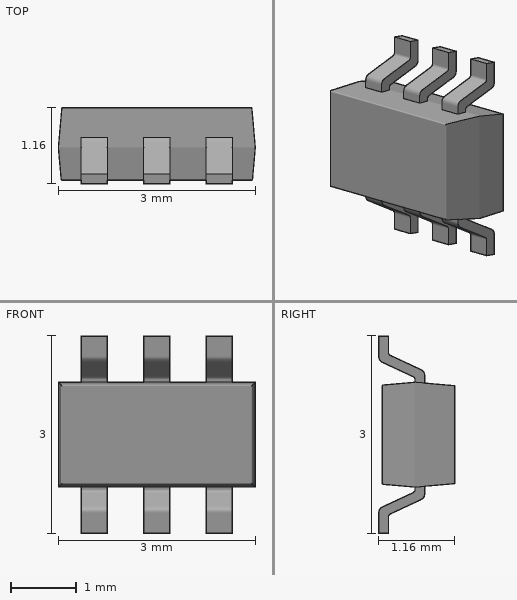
import cadquery as cq
import math


housing_width = 3.0
housing_height = 1.6
back_depth = 0.61
foot_drop = 0.552
standoff = 0.055
front_depth = foot_drop - standoff
draft_angle = 5.0
edge_radius = 0.0195

leads_per_side = 3
lead_pitch = 0.95
lead_width = 0.4
lead_thickness = 0.15
lead_span = 3.0
foot_length = 0.375
slope_angle = 25.0
outer_bend_radius = 0.1
inner_bend_radius = 0.05


def housing_half(depth):
    """Drafted block growing from the parting plane toward -Y."""
    return (
        cq.Workplane("XZ")
        .rect(housing_width, housing_height)
        .extrude(depth, taper=draft_angle)
    )


def make_housing():
    front_half = housing_half(front_depth)
    back_half = housing_half(back_depth).mirror("XZ")
    housing = front_half.union(back_half)
    return housing.faces("<Y or >Y").edges().fillet(edge_radius)


def round_bends(lead, bends, radius):
    """Fillet the edges along X that pass through the given (Y, Z) points."""
    for y, z in bends:
        bend_edge = cq.selectors.NearestToPointSelector((0, y, z))
        lead = lead.edges("|X").edges(bend_edge).fillet(radius)
    return lead


def make_upper_lead(center_x):
    """Gull-wing lead on the +Z side, its root lying flush on the drafted housing wall."""
    slope = math.tan(math.radians(slope_angle))
    miter = lead_thickness * math.tan(math.radians(90 - slope_angle) / 2)

    root_front_z = housing_height / 2
    root_back_z = root_front_z - lead_thickness * math.tan(math.radians(draft_angle))
    tip_z = lead_span / 2
    foot_front_y = -foot_drop
    foot_back_y = foot_front_y + lead_thickness
    foot_bend_front_z = tip_z - foot_length
    foot_bend_back_z = foot_bend_front_z + miter
    root_bend_front_z = foot_bend_front_z - foot_drop * slope
    root_bend_back_z = root_bend_front_z + miter

    outline = [
        (0, root_front_z),
        (0, root_bend_front_z),
        (foot_front_y, foot_bend_front_z),
        (foot_front_y, tip_z),
        (foot_back_y, tip_z),
        (foot_back_y, foot_bend_back_z),
        (lead_thickness, root_bend_back_z),
        (lead_thickness, root_back_z),
    ]
    outer_bends = [(foot_front_y, foot_bend_front_z), (lead_thickness, root_bend_back_z)]
    inner_bends = [(0, root_bend_front_z), (foot_back_y, foot_bend_back_z)]

    lead = cq.Workplane("YZ").polyline(outline).close().extrude(lead_width / 2, both=True)
    lead = round_bends(lead, outer_bends, outer_bend_radius)
    lead = round_bends(lead, inner_bends, inner_bend_radius)
    return lead.translate((center_x, 0, 0))


housing = make_housing()

leads = []
for index in range(leads_per_side):
    center_x = (index - (leads_per_side - 1) / 2) * lead_pitch
    upper_lead = make_upper_lead(center_x)
    lower_lead = upper_lead.mirror("XY")
    leads.append(upper_lead.val())
    leads.append(lower_lead.val())

result = cq.Compound.makeCompound([housing.val(), *leads])